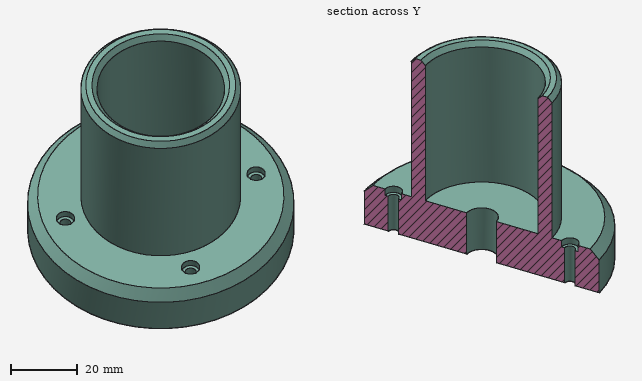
import cadquery as cq

flange_diameter = 80
flange_height = 15.0
flange_chamfer = 3.0

tube_diameter = 48
tube_height = 50.0
bore_diameter = 38.2
rim_chamfer = 1.5
total_height = flange_height + tube_height

center_hole_diameter = 10.0

screw_count = 4
screw_circle_diameter = 60
screw_hole_diameter = 3.4
counterbore_diameter = 5.4
counterbore_depth = 2.2


def make_flange():
    disc = cq.Workplane("XY").circle(flange_diameter / 2).extrude(flange_height)
    return disc.faces(">Z").edges().chamfer(flange_chamfer)


def make_tube():
    """Tube with both edges of its upper rim chamfered."""
    tube = (
        cq.Workplane("XY")
        .workplane(offset=flange_height)
        .circle(tube_diameter / 2)
        .circle(bore_diameter / 2)
        .extrude(tube_height)
    )
    return tube.faces(">Z").edges().chamfer(rim_chamfer)


def cut_center_hole(body):
    hole = cq.Workplane("XY").circle(center_hole_diameter / 2).extrude(total_height)
    return body.cut(hole)


def cut_screw_holes(body):
    return (
        body.copyWorkplane(cq.Workplane("XY", origin=(0, 0, flange_height)))
        .polarArray(screw_circle_diameter / 2, 0, 360, screw_count)
        .cboreHole(screw_hole_diameter, counterbore_diameter, counterbore_depth)
    )


result = cut_screw_holes(cut_center_hole(make_flange().union(make_tube())))